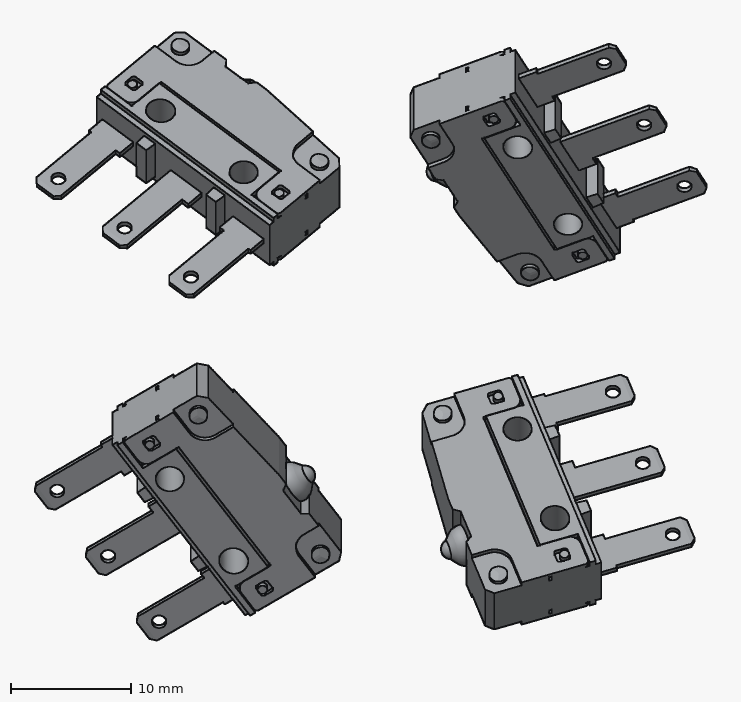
import cadquery as cq
import math


width = 19.8
thickness = 6.4
half_width = width / 2
base_half_z = 2.68
panel_half_z = thickness / 2
cover_half_z = 3.13
rail_bottom = 0.49
rail_top = 1.02
base_top = 4.35
groove_width = 0.25
groove_half_z = 2.21
cover_bottom = base_top + groove_width
cover_top = 10.03
panel_half_x = 6.86
leg_bottom = 1.08
leg_inner_radius = 0.9
leg_outer_radius = 0.3

corner_chamfer = 0.6
slope_end_x = 9.2
slope_end_y = 9.14
right_corner_y = 8.47

pin_x = 8.4
left_pin_y = 8.55
right_pin_y = 7.61
pin_diameter = 1.5
pin_half_z = 3.1
pocket_reach_x = 2.48
pocket_reach_y = 1.52
pocket_radius = 1.55
ridge_half_width = 0.12
top_facet_angle = 11.5
side_facet_angle = 6.0

window_size = 1.18
window_y = 2.92
window_radius = 0.25
post_diameter = 0.8

mount_x = 4.75
mount_y = 2.3
mount_diameter = 2.35
mount_slot_length = 2.48

plunger_x = -2.8
plunger_tip_y = 11.61
dome_radius = 0.85
dome_end_radius = 0.81
cone_end_radius = 1.38
cone_end_y = 10.5
plunger_diameter = 3.5
plunger_radius = plunger_diameter / 2
plunger_shoulder_y = 9.62
notch_floor_y = 9.45
notch_floor_half = 1.32
notch_mouth_half = 1.75

terminal_pitch = 7.6
overall_length = 20.3
terminal_tip_y = plunger_tip_y - overall_length
terminal_thickness = 0.5
blade_width = 2.82
root_length = 1.62
root_wide_step = 0.47
root_narrow_step = 0.25
middle_root_step = 0.71
tip_chamfer = 0.45
tip_bevel = 0.06
eye_diameter = 1.2
eye_from_tip = 1.6

barrier_left_x = -3.84
barrier_right_x = 4.15
barrier_root_width = 1.25
barrier_tip_width = 1.12
barrier_length = 1.02
barrier_half_z = groove_half_z


def block(x_min, x_max, y_min, y_max, z_min, z_max):
    """Box given by its limits along each axis."""
    return (
        cq.Workplane("XY", origin=(x_min, y_min, z_min))
        .box(x_max - x_min, y_max - y_min, z_max - z_min, centered=False)
    )


def both_faces(shape):
    """Shape together with its mirror image on the -Z face."""
    return shape.union(shape.mirror("XY"))


def make_base():
    """Base shell, full-width rail, raised panel and the neck under the cover."""
    shell = block(-half_width, half_width, 0, base_top, -base_half_z, base_half_z)
    rail = block(-half_width, half_width, rail_bottom, rail_top, -panel_half_z, panel_half_z)
    panel = block(-panel_half_x, panel_half_x, rail_bottom, base_top, -panel_half_z, panel_half_z)
    neck = block(-half_width, half_width, base_top, cover_bottom, -groove_half_z, groove_half_z)
    return shell.union(rail).union(panel).union(neck)


def make_cover_body():
    """Upper housing with a sloping top edge on the +X half."""
    outline = [
        (-half_width, cover_bottom),
        (half_width, cover_bottom),
        (half_width, right_corner_y),
        (slope_end_x, slope_end_y),
        (0, cover_top),
        (-half_width + corner_chamfer, cover_top),
        (-half_width, cover_top - corner_chamfer),
    ]
    return (
        cq.Workplane("XY", origin=(0, 0, -cover_half_z))
        .polyline(outline)
        .close()
        .extrude(2 * cover_half_z)
    )


def make_leg(side):
    """Leg of the cover lying on the base shell; side is -1 or +1 along X."""
    x_limits = sorted([side * panel_half_x, side * half_width])
    leg = block(*x_limits, leg_bottom, cover_bottom, base_half_z, cover_half_z)
    inner, outer = ("<X", ">X") if side > 0 else (">X", "<X")
    leg = leg.edges("|Z").edges("<Y").edges(inner).fillet(leg_inner_radius)
    return leg.edges("|Z").edges("<Y").edges(outer).fillet(leg_outer_radius)


def make_window(side):
    """Rounded square opening through a leg."""
    return (
        cq.Workplane("XY", origin=(side * pin_x, window_y, base_half_z))
        .rect(window_size, window_size)
        .extrude(panel_half_z - base_half_z)
        .edges("|Z")
        .fillet(window_radius)
    )


def make_post(side):
    """Round post touching the lower edge of the window."""
    post_y = window_y - (window_size - post_diameter) / 2
    return (
        cq.Workplane("XY", origin=(side * pin_x, post_y, 0))
        .circle(post_diameter / 2)
        .extrude(panel_half_z)
    )


def make_corner_pocket(side, pin_y):
    """Pocket at an upper corner, rounded where its two walls meet."""
    inner_x = side * (pin_x - pocket_reach_x)
    x_limits = sorted([inner_x, side * half_width])
    pocket = block(*x_limits, pin_y - pocket_reach_y, cover_top, base_half_z, cover_half_z)
    inner = "<X" if side > 0 else ">X"
    return pocket.edges("|Z").edges("<Y").edges(inner).fillet(pocket_radius)


def make_pin(side, pin_y):
    """Pin whose top falls away to +Y and to both sides of a flat ridge."""
    radius = pin_diameter / 2
    side_drop = (radius - ridge_half_width) * math.tan(math.radians(side_facet_angle))
    top_drop = radius * math.tan(math.radians(top_facet_angle))
    cylinder = cq.Workplane("XY").circle(radius).extrude(pin_half_z)
    side_profile = (
        cq.Workplane("XZ", origin=(0, radius, 0))
        .polyline([
            (-radius, 0),
            (radius, 0),
            (radius, pin_half_z - side_drop),
            (ridge_half_width, pin_half_z),
            (-ridge_half_width, pin_half_z),
            (-radius, pin_half_z - side_drop),
        ])
        .close()
        .extrude(pin_diameter)
    )
    top_profile = (
        cq.Workplane("YZ", origin=(-radius, 0, 0))
        .polyline([
            (-radius, 0),
            (radius, 0),
            (radius, pin_half_z - top_drop),
            (0, pin_half_z),
            (-radius, pin_half_z),
        ])
        .close()
        .extrude(pin_diameter)
    )
    pin = cylinder.intersect(side_profile).intersect(top_profile)
    return pin.translate((side * pin_x, pin_y, 0))


def make_notch():
    """Trapezoidal notch across the top edge, around the plunger."""
    return (
        cq.Workplane("XY", origin=(plunger_x, 0, -cover_half_z))
        .polyline([
            (-notch_floor_half, notch_floor_y),
            (notch_floor_half, notch_floor_y),
            (notch_mouth_half, cover_top),
            (-notch_mouth_half, cover_top),
        ])
        .close()
        .extrude(2 * cover_half_z)
    )


def make_plunger():
    """Domed plunger turned about an axis along Y."""
    dome_center_y = plunger_tip_y - dome_radius
    dome_end_y = dome_center_y + math.sqrt(dome_radius**2 - dome_end_radius**2)
    arc_middle = dome_radius * math.sin(math.radians(45))
    return (
        cq.Workplane("XY", origin=(plunger_x, 0, 0))
        .moveTo(0, plunger_tip_y)
        .threePointArc((arc_middle, dome_center_y + arc_middle), (dome_end_radius, dome_end_y))
        .lineTo(cone_end_radius, cone_end_y)
        .tangentArcPoint((plunger_radius, plunger_shoulder_y), relative=False)
        .lineTo(plunger_radius, notch_floor_y)
        .lineTo(0, notch_floor_y)
        .close()
        .revolve(360, (0, 0, 0), (0, 1, 0))
    )


def make_terminal(center_x, left_step, right_step):
    """Flat terminal: wide root, blade, chamfered and bevelled tip, round eye."""
    half_z = terminal_thickness / 2
    half_blade = blade_width / 2
    blade = block(-half_blade, half_blade, terminal_tip_y, 0, -half_z, half_z)
    blade = blade.edges("|Z").edges("<Y").chamfer(tip_chamfer)
    bevel_profile = (
        cq.Workplane("YZ", origin=(-half_blade, 0, 0))
        .polyline([
            (0, -half_z),
            (0, half_z),
            (terminal_tip_y + tip_chamfer, half_z),
            (terminal_tip_y, half_z - tip_bevel),
            (terminal_tip_y, -half_z + tip_bevel),
            (terminal_tip_y + tip_chamfer, -half_z),
        ])
        .close()
        .extrude(blade_width)
    )
    eye = (
        cq.Workplane("XY", origin=(0, terminal_tip_y + eye_from_tip, -half_z))
        .circle(eye_diameter / 2)
        .extrude(terminal_thickness)
    )
    root = block(-half_blade - left_step, half_blade + right_step, -root_length, 0, -half_z, half_z)
    terminal = blade.intersect(bevel_profile).cut(eye).union(root)
    return terminal.translate((center_x, 0, 0))


def make_barrier(center_x):
    """Upright rib between two terminals, slightly tapered towards its tip."""
    return (
        cq.Workplane("XY", origin=(center_x, 0, -barrier_half_z))
        .polyline([
            (-barrier_root_width / 2, 0),
            (barrier_root_width / 2, 0),
            (barrier_tip_width / 2, -barrier_length),
            (-barrier_tip_width / 2, -barrier_length),
        ])
        .close()
        .extrude(2 * barrier_half_z)
    )


result = make_base().union(make_cover_body())
for side, pin_y in [(-1, left_pin_y), (1, right_pin_y)]:
    result = result.cut(both_faces(make_corner_pocket(side, pin_y)))
    result = result.union(both_faces(make_pin(side, pin_y)))
    result = result.union(both_faces(make_leg(side).cut(make_window(side))))
    result = result.union(both_faces(make_post(side)))

mount_slot = (
    cq.Workplane("XY", origin=(-mount_x, mount_y, -panel_half_z))
    .slot2D(mount_slot_length, mount_diameter)
    .extrude(2 * panel_half_z)
)
mount_hole = (
    cq.Workplane("XY", origin=(mount_x, mount_y, -panel_half_z))
    .circle(mount_diameter / 2)
    .extrude(2 * panel_half_z)
)
result = result.cut(mount_slot).cut(mount_hole)

result = result.cut(make_notch()).union(make_plunger())

result = result.union(make_terminal(-terminal_pitch, root_narrow_step, root_wide_step))
result = result.union(make_terminal(0, 0, middle_root_step))
result = result.union(make_terminal(terminal_pitch, root_wide_step, root_narrow_step))

for barrier_x in (barrier_left_x, barrier_right_x):
    result = result.union(make_barrier(barrier_x))